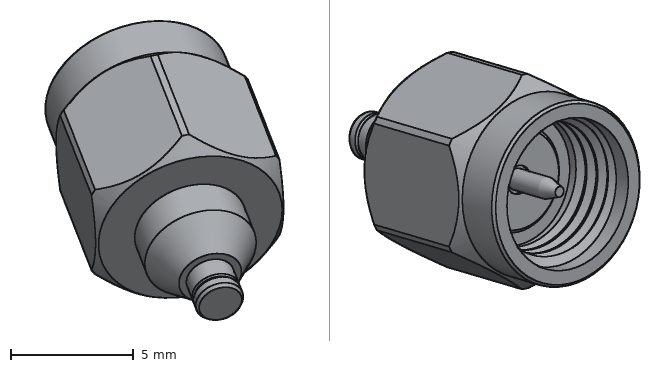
import cadquery as cq
import math

total_length = 13.05

collar_length = 2.02
collar_radius = 3.88
collar_chamfer = 0.12
nut_end = 8.38
across_flats = 7.93
corner_radius = 4.496
corner_chamfer_length = 0.75

neck_radius = 2.35
neck_end = 9.96
cone_end = 11.46
cone_end_radius = 1.32

tip_radius = 1.0
tip_chamfer_length = 0.16
tip_chamfer_depth = 0.1
groove_start = 12.35
groove_bottom = 12.42
groove_end = 12.54
groove_depth = 0.07

entry_radius = 3.17
thread_root_radius = 3.09
thread_minor_radius = 2.78
entry_depth = 0.78
entry_cone_length = 0.33
socket_depth = 3.31
thread_pitch = 0.7
thread_crest_width = 0.1
thread_flank_angle = 35.0
thread_turns = 3.6
thread_overlap = 0.04
thread_end = 3.05
thread_end_angle = 50.0

boss_radius = 2.23
boss_bevel = 0.15
boss_height = 0.15
pin_recess_radius = 0.6
pin_recess_depth = 0.13
pin_radius = 0.46
pin_tip_radius = 0.22
pin_tip_start = 0.52
pin_tip_end = 1.33


def turned(profile):
    """Solid of revolution about X from (x, radius) points; both ends close onto the axis."""
    outline = [(profile[0][0], 0)] + profile + [(profile[-1][0], 0)]
    return cq.Workplane("XY").polyline(outline).close().revolve(360, (0, 0, 0), (1, 0, 0))


def hexagonal_nut():
    """Hexagon with corners up and down, chamfered at both ends by a turned envelope."""
    hexagon = (
        cq.Workplane("YZ", origin=(collar_length, 0, 0))
        .transformed(rotate=(0, 0, 30))
        .polygon(6, across_flats / math.cos(math.radians(30)))
        .extrude(nut_end - collar_length)
    )
    envelope = turned([
        (collar_length, collar_radius),
        (collar_length + corner_chamfer_length, corner_radius),
        (nut_end - corner_chamfer_length, corner_radius),
        (nut_end, collar_radius),
    ])
    return hexagon.intersect(envelope)


def collar():
    return turned([
        (0, collar_radius - collar_chamfer),
        (collar_chamfer, collar_radius),
        (collar_length, collar_radius),
    ])


def rear_body():
    """Neck, cone and grooved tip behind the nut."""
    return turned([
        (nut_end, neck_radius),
        (neck_end, neck_radius),
        (cone_end, cone_end_radius),
        (cone_end, tip_radius),
        (groove_start, tip_radius),
        (groove_bottom, tip_radius - groove_depth),
        (groove_end, tip_radius),
        (total_length - tip_chamfer_length, tip_radius),
        (total_length, tip_radius - tip_chamfer_depth),
    ])


def socket():
    """Plain entry, lead-in cone and bore at the thread's minor radius."""
    return turned([
        (0, entry_radius),
        (entry_depth, entry_radius),
        (entry_depth + entry_cone_length, thread_minor_radius),
        (socket_depth, thread_minor_radius),
    ])


def thread_groove():
    """Right-hand helical groove that runs out into the socket entry."""
    inner_radius = thread_minor_radius - thread_overlap
    flank_slope = math.tan(math.radians(thread_flank_angle))
    mouth_half_width = (thread_pitch - thread_crest_width) / 2
    inner_half_width = mouth_half_width + thread_overlap * flank_slope
    root_half_width = mouth_half_width - (thread_root_radius - thread_minor_radius) * flank_slope
    path = cq.Wire.makeHelix(thread_pitch, thread_turns * thread_pitch, thread_minor_radius)
    groove = (
        cq.Workplane("XZ")
        .polyline([
            (inner_radius, -inner_half_width),
            (thread_root_radius, -root_half_width),
            (thread_root_radius, root_half_width),
            (inner_radius, inner_half_width),
        ])
        .close()
        .sweep(cq.Workplane(obj=path), isFrenet=True)
    )
    swept_angle = 360 * thread_turns
    return (
        groove.rotate((0, 0, 0), (0, 0, 1), 90 + thread_end_angle - swept_angle)
        .rotate((0, 0, 0), (0, 1, 0), 90)
        .translate((thread_end - thread_turns * thread_pitch, 0, 0))
    )


def insulator_boss():
    boss_face = socket_depth - boss_height
    boss = turned([
        (boss_face, boss_radius - boss_bevel),
        (socket_depth, boss_radius),
    ])
    recess = turned([
        (boss_face, pin_recess_radius),
        (boss_face + pin_recess_depth, pin_recess_radius),
    ])
    return boss.cut(recess)


def contact_pin():
    return turned([
        (pin_tip_start, pin_tip_radius),
        (pin_tip_end, pin_radius),
        (socket_depth, pin_radius),
    ])


shell = hexagonal_nut().union(collar()).union(rear_body())
shell = shell.cut(socket()).cut(thread_groove())
result = shell.union(insulator_boss()).union(contact_pin())